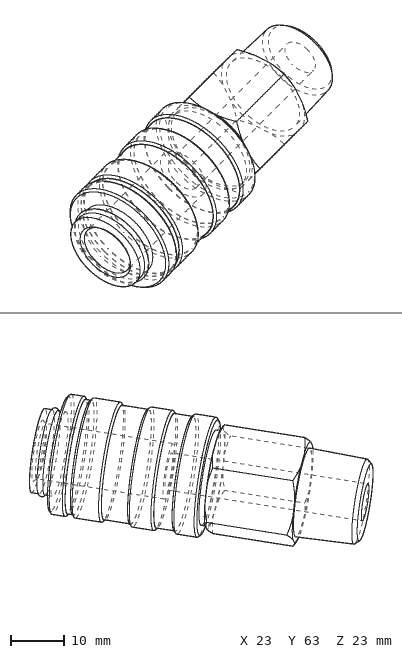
import cadquery as cq
import math

length = 63.0

sleeve_diameter = 23.0
sleeve_radius = sleeve_diameter / 2
groove_radius = 10.95
band_chamfer = 0.45
bands = [(4.1, 7.5), (8.5, 14.5), (19.5, 24.6), (28.1, 32.9)]
band_overlap = 0.05

collar_radius = 8.05
bead_center = 2.0
bead_half_width = 0.55
bead_height = 0.45

neck_radius = 9.15
hex_start = 34.0
hex_end = 50.95
hex_across_flats = 19.0
hex_corner_radius = hex_across_flats / math.sqrt(3)
hex_chamfer_height = 0.75
hex_chamfer_angle = 30.0

gauge_position = 56.7
gauge_radius = 8.3
taper = 1 / 32
tip_chamfer_width = 0.75
tip_chamfer_length = 0.9

through_radius = 3.5
mouth_radius = 5.85
socket_radius = 5.3
socket_depth = 25.2
mouth_chamfer = mouth_radius - socket_radius


def revolve_profile(points):
    """Revolve a closed outline of (radius, Y) points about the Y axis."""
    return cq.Workplane("XY").polyline(points).close().revolve(360, (0, 0, 0), (0, 1, 0))


def cylinder(radius, start, end):
    return revolve_profile([(0, start), (radius, start), (radius, end), (0, end)])


def make_collar():
    """Mouth collar with an arc-shaped bead around it."""
    return (
        cq.Workplane("XY")
        .moveTo(0, 0)
        .lineTo(collar_radius, 0)
        .lineTo(collar_radius, bead_center - bead_half_width)
        .threePointArc(
            (collar_radius + bead_height, bead_center),
            (collar_radius, bead_center + bead_half_width),
        )
        .lineTo(collar_radius, bands[0][0])
        .lineTo(0, bands[0][0])
        .close()
        .revolve(360, (0, 0, 0), (0, 1, 0))
    )


def make_sleeve():
    """Groove-diameter core carrying the chamfered bands."""
    sleeve = cylinder(groove_radius, bands[0][0] + band_chamfer + band_overlap,
                      bands[-1][1] - band_chamfer - band_overlap)
    for start, end in bands:
        sleeve = sleeve.union(cylinder(sleeve_radius, start, end).edges().chamfer(band_chamfer))
    return sleeve


def make_hexagon():
    """Hexagon with corners on the X axis and both ends turned to a cone."""
    corners = [
        (hex_corner_radius * math.cos(math.radians(angle)), hex_corner_radius * math.sin(math.radians(angle)))
        for angle in range(0, 360, 60)
    ]
    hexagon = (
        cq.Workplane("XZ", origin=(0, hex_end, 0))
        .polyline(corners)
        .close()
        .extrude(hex_end - hex_start)
    )
    end_radius = hex_corner_radius - hex_chamfer_height / math.tan(math.radians(hex_chamfer_angle))
    turned_envelope = revolve_profile([
        (0, hex_start),
        (end_radius, hex_start),
        (hex_corner_radius, hex_start + hex_chamfer_height),
        (hex_corner_radius, hex_end - hex_chamfer_height),
        (end_radius, hex_end),
        (0, hex_end),
    ])
    return hexagon.intersect(turned_envelope)


def thread_radius(position):
    return gauge_radius + taper * (gauge_position - position)


def make_thread():
    chamfer_start = length - tip_chamfer_length
    return revolve_profile([
        (0, hex_end),
        (thread_radius(hex_end), hex_end),
        (thread_radius(chamfer_start), chamfer_start),
        (thread_radius(chamfer_start) - tip_chamfer_width, length),
        (0, length),
    ])


def make_bore():
    """Socket with a chamfered mouth, followed by the through passage."""
    return revolve_profile([
        (0, 0),
        (mouth_radius, 0),
        (socket_radius, mouth_chamfer),
        (socket_radius, socket_depth),
        (through_radius, socket_depth),
        (through_radius, length),
        (0, length),
    ])


body = (
    make_collar()
    .union(make_sleeve())
    .union(cylinder(neck_radius, bands[-1][1], hex_start))
    .union(make_hexagon())
    .union(make_thread())
)
result = body.cut(make_bore())